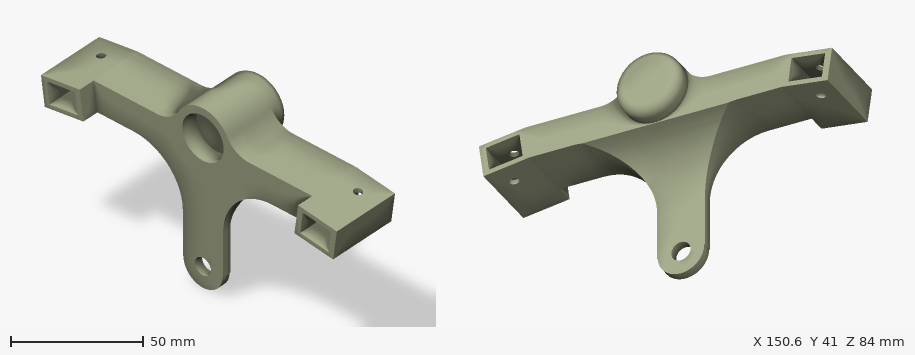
import cadquery as cq
import math

hub_radius = 14.0
hub_length = 33.0
hub_edge_fillet = 4.0
bore_radius = 10.5
bore_depth = 8.0

arm_height = 14.0
arm_depth = 25.0
hub_blend_radius = 12.5

leg_half_width = 10.2
leg_thickness = 4.0
leg_tip_radius = 10.0
leg_hole_z = -60.0
leg_hole_radius = 4.0
leg_blend_radius = 25.0
leg_blend_z = -arm_height - leg_blend_radius

tube_angle = 7.8
half_span = 75.3
tube_width = 19.9
tube_height = arm_height / math.cos(math.radians(tube_angle))
tube_front_overhang = 8.0
tube_side_wall = 2.7
tube_floor_wall = 2.0
pin_hole_radius = 2.0
pin_hole_x = 65.3
pin_hole_y = 15.0

tube_corner_x = half_span - tube_width * math.cos(math.radians(tube_angle))
arm_end_x = tube_corner_x - arm_height * math.tan(math.radians(tube_angle))


def extrude_back(sketch, start, end):
    """Extrude an XZ sketch from Y = start to Y = end."""
    return sketch.extrude(start - end).translate((0, start, 0))


def cylinder_y(radius, x, z, start, end):
    return extrude_back(cq.Workplane("XZ").center(x, z).circle(radius), start, end)


def make_hub():
    hub = cylinder_y(hub_radius, 0, 0, 0, hub_length)
    return hub.faces(">Y").edges().fillet(hub_edge_fillet)


def make_arms():
    """Both arms, blended into the hub above and the leg below."""
    blend_x = math.sqrt((hub_radius + hub_blend_radius) ** 2 - hub_blend_radius**2)
    tangent_ratio = hub_radius / (hub_radius + hub_blend_radius)
    hub_tangent = (blend_x * tangent_ratio, hub_blend_radius * tangent_ratio)
    hub_blend_angle = math.atan2(hub_blend_radius, blend_x)
    mid_angle = (math.pi + hub_blend_angle + 1.5 * math.pi) / 2
    hub_blend_mid = (
        blend_x + hub_blend_radius * math.cos(mid_angle),
        hub_blend_radius * (1 + math.sin(mid_angle)),
    )
    leg_blend_x = leg_half_width + leg_blend_radius
    diagonal = leg_blend_radius * math.sqrt(0.5)
    half = (
        cq.Workplane("XZ")
        .moveTo(0, hub_tangent[1])
        .lineTo(*hub_tangent)
        .threePointArc(hub_blend_mid, (blend_x, 0))
        .lineTo(tube_corner_x, 0)
        .lineTo(arm_end_x, -arm_height)
        .lineTo(leg_blend_x, -arm_height)
        .threePointArc((leg_blend_x - diagonal, leg_blend_z + diagonal), (leg_half_width, leg_blend_z))
        .lineTo(leg_half_width, leg_hole_z)
        .lineTo(0, leg_hole_z)
        .close()
    )
    half = extrude_back(half, 0, arm_depth)
    return half.union(half.mirror("YZ"))


def make_back_scoop():
    """Material removed behind the leg, ending in a concave sweep under the arms."""
    scoop_y = leg_thickness + leg_blend_radius
    diagonal = leg_blend_radius * math.sqrt(0.5)
    bottom = leg_hole_z - leg_tip_radius
    return (
        cq.Workplane("YZ")
        .moveTo(leg_thickness, bottom)
        .lineTo(leg_thickness, leg_blend_z)
        .threePointArc((scoop_y - diagonal, leg_blend_z + diagonal), (scoop_y, -arm_height))
        .lineTo(scoop_y, bottom)
        .close()
        .extrude(leg_blend_radius + leg_half_width, both=True)
    )


def make_tube():
    """Right-hand tube, open at both Y ends, tilted about its top inner corner."""
    tube = cq.Workplane("XY").box(
        tube_width, arm_depth + tube_front_overhang, tube_height, centered=False
    )
    opening = cq.Workplane("XY").box(
        tube_width - 2 * tube_side_wall,
        arm_depth + tube_front_overhang,
        tube_height - 2 * tube_floor_wall,
        centered=False,
    ).translate((tube_side_wall, 0, tube_floor_wall))
    tube = tube.cut(opening).translate((0, -tube_front_overhang, -tube_height))
    tube = tube.rotate((0, 0, 0), (0, 1, 0), tube_angle).translate((tube_corner_x, 0, 0))
    pin_hole = (
        cq.Workplane("XY")
        .center(pin_hole_x, pin_hole_y)
        .circle(pin_hole_radius)
        .extrude(2 * tube_height, both=True)
    )
    return tube.cut(pin_hole)


tube = make_tube()
result = make_arms().cut(make_back_scoop())
result = result.union(cylinder_y(leg_tip_radius, 0, leg_hole_z, 0, leg_thickness))
result = result.union(make_hub())
result = result.union(tube).union(tube.mirror("YZ"))
result = result.cut(cylinder_y(bore_radius, 0, 0, 0, bore_depth))
result = result.cut(cylinder_y(leg_hole_radius, 0, leg_hole_z, 0, leg_thickness))